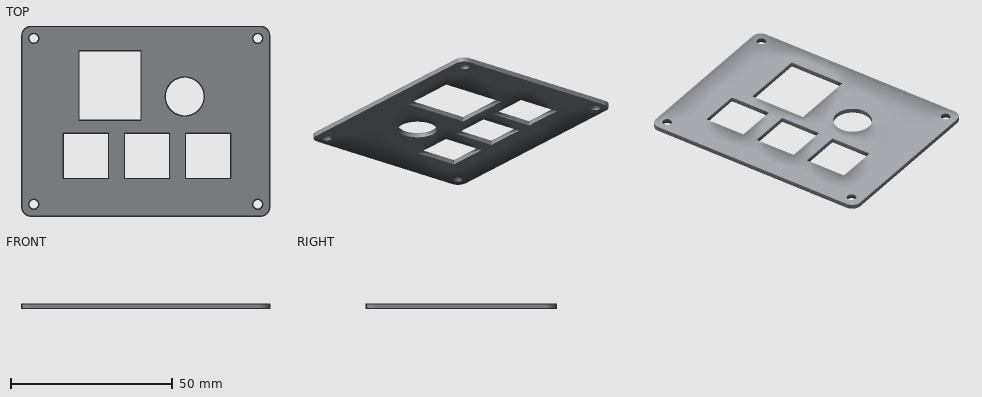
import cadquery as cq

length = 77.0
width = 59.0
thickness = 1.5
corner_radius = 3.0

mount_diameter = 3.0
mount_inset = 3.8

square_side = 13.9
square_pitch = 18.95
square_row_x = 0.4
square_row_y = -10.7

window_length = 19.1
window_width = 21.5
window_center = (-11.1, 11.1)

round_diameter = 12.0
round_center = (12.1, 7.7)


def through_cutter(sketch):
    """Extrude a closed outline through the full plate thickness."""
    return sketch.extrude(thickness)


plate = cq.Workplane("XY").rect(length, width).extrude(thickness)
plate = plate.edges("|Z").fillet(corner_radius)

mount_holes = through_cutter(
    cq.Workplane("XY")
    .rect(length - 2 * mount_inset, width - 2 * mount_inset, forConstruction=True)
    .vertices()
    .circle(mount_diameter / 2)
)

square_windows = through_cutter(
    cq.Workplane("XY")
    .center(square_row_x, square_row_y)
    .rarray(square_pitch, 0.8, 3, 1)
    .rect(square_side, square_side)
)

large_window = through_cutter(
    cq.Workplane("XY").center(*window_center).rect(window_length, window_width)
)

round_hole = through_cutter(
    cq.Workplane("XY").center(*round_center).circle(round_diameter / 2)
)

result = plate.cut(mount_holes).cut(square_windows).cut(large_window).cut(round_hole)